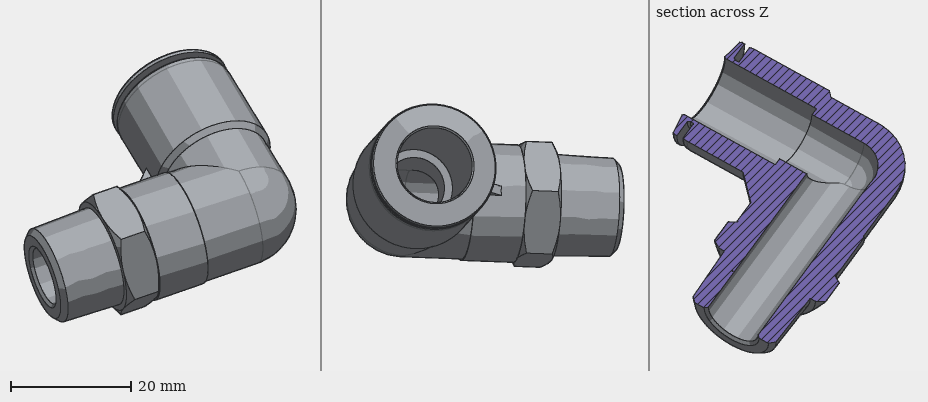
import cadquery as cq
import math

elbow_dia = 19.15

socket_dia = 21.0
socket_mouth_dia = 20.6
socket_end = 9.4
socket_shoulder = 10.28
socket_taper_start = 25.0
socket_taper_dia = 20.9
socket_mouth = 26.0
socket_mouth_bevel = 0.25
neck_dia = 14.1
neck_root_dia = 14.55
neck_root_length = 0.4
collet_back = 27.0
collet_rim = 27.6
collet_cone_start = 27.9
collet_cone_dia = 20.6
collet_face = 28.5

collar_dia = 19.6
collar_start = 10.15
hex_start = 18.93
hex_end = 24.95
hex_flats = 19.0
hex_chamfer_angle = 30
stem_end = 46.5 - socket_dia / 2
stem_chamfer = 0.95
thread_root_dia = 17.0
thread_tip_dia = 16.4

tube_hole_dia = 12.7
tube_hole_mouth_dia = 13.25
tube_hole_chamfer = (tube_hole_mouth_dia - tube_hole_dia) / 2
socket_bore_dia = 10.0
stem_bore_dia = 9.8
stem_bore_mouth_dia = 10.85
stem_bore_chamfer = (stem_bore_mouth_dia - stem_bore_dia) / 2

rib_thickness = 1.6
rib_intercept = 24.5


def turned_x(stations):
    """Solid of revolution about X from (distance towards -X, diameter) stations."""
    outline = [(-distance, dia / 2) for distance, dia in stations]
    outline = [(-stations[0][0], 0)] + outline + [(-stations[-1][0], 0)]
    return cq.Workplane("XY").polyline(outline).close().revolve(360, (0, 0), (1, 0))


def turned_y(stations):
    """Solid of revolution about Y from (distance towards -Y, diameter) stations."""
    return turned_x(stations).rotate((0, 0, 0), (0, 0, 1), 90)


def cylinder_leg(dia, length):
    """Stations of a plain cylinder starting at the origin."""
    return [(0, dia), (length, dia)]


def make_elbow():
    legs = turned_x(cylinder_leg(elbow_dia, socket_shoulder))
    legs = legs.union(turned_y(cylinder_leg(elbow_dia, hex_start)))
    return legs.union(cq.Workplane("XY").sphere(elbow_dia / 2))


def make_socket():
    return turned_x([
        (socket_end, elbow_dia),
        (socket_shoulder, socket_dia),
        (socket_taper_start, socket_dia),
        (socket_mouth - socket_mouth_bevel, socket_taper_dia),
        (socket_mouth, socket_mouth_dia),
        (socket_mouth, neck_dia),
        (collet_back - neck_root_length, neck_dia),
        (collet_back, neck_root_dia),
    ])


def make_collet():
    """Release ring whose conical face falls back from the tube hole to the rim."""
    return turned_x([
        (collet_back, socket_dia),
        (collet_rim, socket_dia),
        (collet_cone_start, collet_cone_dia),
        (collet_face, tube_hole_mouth_dia),
    ])


def make_hex():
    """Hexagon with corners on +X and -X, chamfered at both ends."""
    corner_dia = hex_flats / math.cos(math.radians(30))
    chamfer_height = (corner_dia - hex_flats) / 2 * math.tan(math.radians(hex_chamfer_angle))
    prism = (
        cq.Workplane("XZ", origin=(0, -hex_start, 0))
        .polygon(6, corner_dia)
        .extrude(hex_end - hex_start)
    )
    envelope = turned_y([
        (hex_start, hex_flats),
        (hex_start + chamfer_height, corner_dia),
        (hex_end - chamfer_height, corner_dia),
        (hex_end, hex_flats),
    ])
    return prism.intersect(envelope)


def make_stem():
    collar = turned_y([(collar_start, collar_dia), (hex_start, collar_dia)])
    thread = turned_y([
        (hex_end, thread_root_dia),
        (stem_end - stem_chamfer, thread_tip_dia),
        (stem_end, thread_tip_dia - 2 * stem_chamfer),
    ])
    return collar.union(make_hex()).union(thread)


def make_rib():
    inner = elbow_dia / 4
    tip = rib_intercept - inner
    return (
        cq.Workplane("XY")
        .polyline([(-inner, -inner), (-tip, -inner), (-inner, -tip)])
        .close()
        .extrude(rib_thickness / 2, both=True)
    )


def make_passages():
    tube_hole = turned_x([
        (socket_shoulder, tube_hole_dia),
        (collet_face - tube_hole_chamfer, tube_hole_dia),
        (collet_face, tube_hole_mouth_dia),
    ])
    socket_bore = turned_x(cylinder_leg(socket_bore_dia, socket_shoulder))
    stem_bore = turned_y([
        (0, stem_bore_dia),
        (stem_end - stem_bore_chamfer, stem_bore_dia),
        (stem_end, stem_bore_mouth_dia),
    ])
    corner = cq.Workplane("XY").sphere(socket_bore_dia / 2)
    return tube_hole.union(socket_bore).union(stem_bore).union(corner)


body = make_elbow().union(make_socket()).union(make_collet())
body = body.union(make_stem()).union(make_rib())
result = body.cut(make_passages())